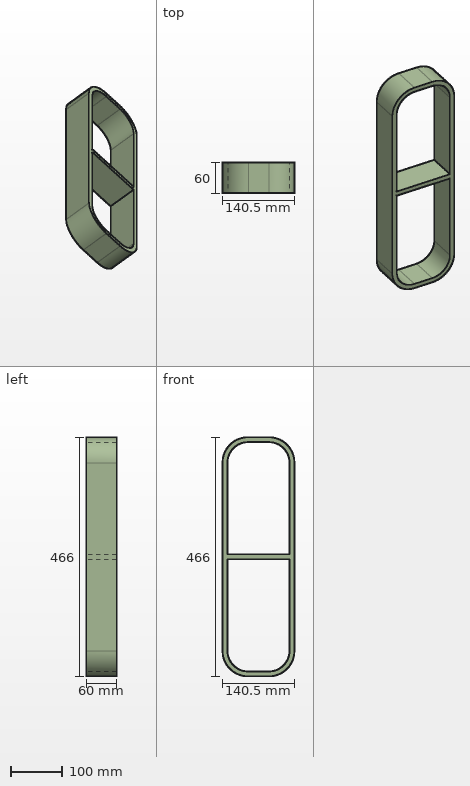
import cadquery as cq

width = 140.5
depth = 60.0
height = 466.0

wall = 10.0
outer_radius = 50.0
inner_radius = outer_radius - wall
shelf_thickness = 10.0


def rounded_block(size_x, size_z, corner_radius):
    """Centred block running the full depth, with its four Y-direction edges rounded."""
    return cq.Workplane("XY").box(size_x, depth, size_z).edges("|Y").fillet(corner_radius)


def make_frame():
    """Hollow ring of constant wall thickness, open at front and back."""
    outer = rounded_block(width, height, outer_radius)
    opening = rounded_block(width - 2 * wall, height - 2 * wall, inner_radius)
    return outer.cut(opening)


def make_shelf():
    """Flat divider at mid-height, reaching halfway into each side wall so it fuses."""
    return cq.Workplane("XY").box(width - wall, depth, shelf_thickness)


result = make_frame().union(make_shelf())